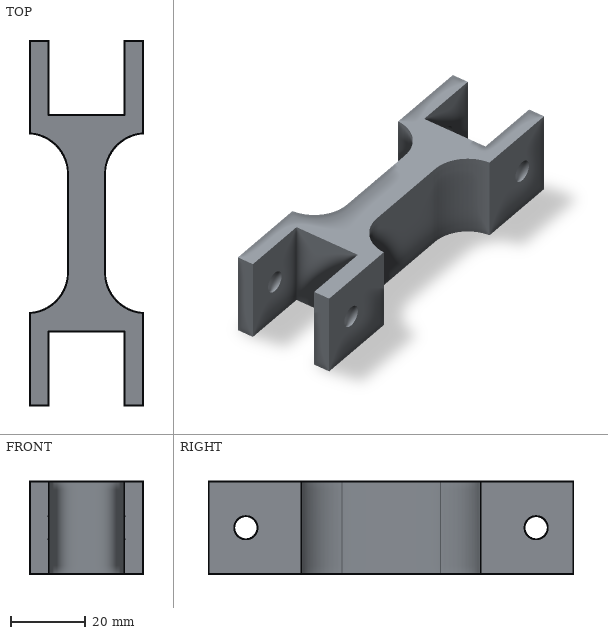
import cadquery as cq

length = 98.3
width = 30.5
height = 25.0

arm_thickness = 5.0
slot_depth = 20.0
cheek_length = 25.0
web_thickness = 10.0
web_length = 26.5
hole_diameter = 6.2
hole_inset = 10.0

slot_width = width - 2 * arm_thickness


def waist_corner():
    """Cutter for the +X, +Y quarter of the waist, with an arc tangent to the web."""
    web_x = web_thickness / 2
    edge_x = width / 2
    arc_start_y = web_length / 2
    arc_end_y = length / 2 - cheek_length
    return (
        cq.Workplane("XY")
        .moveTo(web_x, 0)
        .lineTo(web_x, arc_start_y)
        .tangentArcPoint((edge_x, arc_end_y), relative=False)
        .lineTo(edge_x, 0)
        .close()
        .extrude(height / 2, both=True)
    )


def clevis_slot(end):
    """Open slot between the arms at the +Y (end = 1) or -Y (end = -1) end."""
    slot_y = end * (length - slot_depth) / 2
    return cq.Workplane("XY").box(slot_width, slot_depth, height).translate((0, slot_y, 0))


def pin_hole(end):
    """Cross hole through both arms of one end."""
    hole_y = end * (length / 2 - hole_inset)
    return (
        cq.Workplane("YZ")
        .center(hole_y, 0)
        .circle(hole_diameter / 2)
        .extrude(width / 2, both=True)
    )


result = cq.Workplane("XY").box(width, length, height)

quarter = waist_corner()
side = quarter.union(quarter.mirror("XZ"))
result = result.cut(side).cut(side.mirror("YZ"))

for end in (-1, 1):
    result = result.cut(clevis_slot(end)).cut(pin_hole(end))